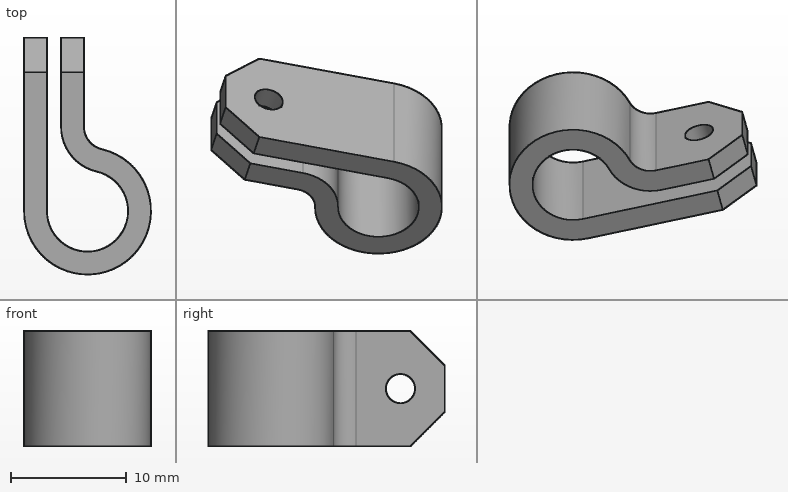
import cadquery as cq
import math

strap_width = 10.0
strap_thickness = 2.0
loop_inner_radius = 3.5
leg_length = 15.0
leg_gap = 1.2
bend_inner_radius = 2.0
chamfer = 3.0
hole_diameter = 2.5
hole_from_end = 3.85

loop_outer_radius = loop_inner_radius + strap_thickness

short_leg_left = -loop_inner_radius + leg_gap
short_leg_right = short_leg_left + strap_thickness

bend_outer_radius = bend_inner_radius + strap_thickness
bend_x = short_leg_right + bend_inner_radius
bend_distance = loop_outer_radius + bend_inner_radius
bend_y = math.sqrt(bend_distance**2 - bend_x**2)
bend_direction = math.degrees(math.atan2(bend_y, bend_x))


def on_loop(radius, angle):
    """Point on a circle about the loop centre, angle in degrees."""
    a = math.radians(angle)
    return (radius * math.cos(a), radius * math.sin(a))


def on_bend(radius, angle):
    """Point on a circle about the bend centre, angle in degrees."""
    x, y = on_loop(radius, angle)
    return (bend_x + x, bend_y + y)


def make_strap():
    """Strap outline in XY, extruded symmetrically about Z = 0."""
    bend_middle = (180 + 180 + bend_direction) / 2
    loop_middle = (bend_direction - 180) / 2
    return (
        cq.Workplane("XY")
        .moveTo(-loop_outer_radius, leg_length)
        .lineTo(-loop_outer_radius, 0)
        .threePointArc(
            on_loop(loop_outer_radius, loop_middle),
            on_loop(loop_outer_radius, bend_direction),
        )
        .threePointArc(
            on_bend(bend_inner_radius, bend_middle),
            (short_leg_right, bend_y),
        )
        .lineTo(short_leg_right, leg_length)
        .lineTo(short_leg_left, leg_length)
        .lineTo(short_leg_left, bend_y)
        .threePointArc(
            on_bend(bend_outer_radius, bend_middle),
            on_loop(loop_inner_radius, bend_direction),
        )
        .threePointArc(
            on_loop(loop_inner_radius, loop_middle),
            (-loop_inner_radius, 0),
        )
        .lineTo(-loop_inner_radius, leg_length)
        .close()
        .extrude(strap_width / 2, both=True)
    )


def chamfer_leg_ends(strap):
    """Cut the upper and lower corners off the free end of each leg."""
    end_edges = strap.faces(">Y").edges("|X and (>Z or <Z)")
    return strap.newObject(end_edges.vals()).chamfer(chamfer)


def drill_screw_hole(strap):
    """Drill one hole along X through both legs."""
    drill = (
        cq.Workplane("YZ", origin=(-loop_outer_radius, 0, 0))
        .center(leg_length - hole_from_end, 0)
        .circle(hole_diameter / 2)
        .extrude(2 * strap_thickness + leg_gap)
    )
    return strap.cut(drill)


result = drill_screw_hole(chamfer_leg_ends(make_strap()))